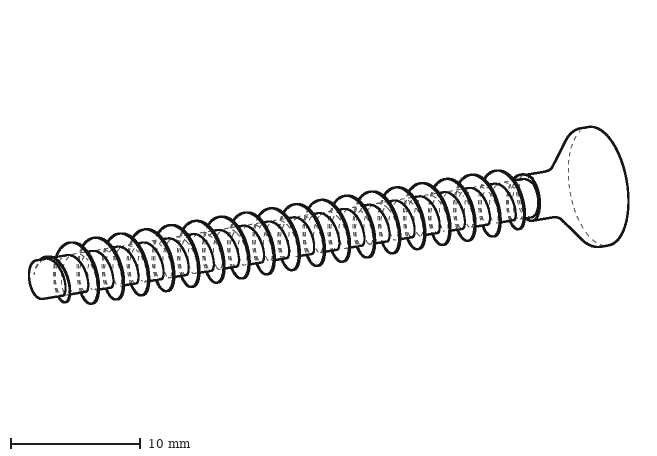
import math
import cadquery as cq

screw_length = 50.0

head_radius = 9.3 / 2
head_rim_height = 0.8
cone_angle = math.radians(45)
rim_round_radius = 0.2

neck_radius = 1.8
neck_end_depth = 6.25
neck_fillet_radius = 1.9
core_radius = 1.52
tip_round_radius = 0.15

thread_pitch = 2.24
thread_radius = 2.5
thread_root_width = 0.8
thread_crest_width = 0.12
thread_overlap = 0.1
buried_scale = 0.05
thread_start_depth = 5.25
full_thread_start_depth = 8.3
full_thread_end_depth = 46.6
thread_end_depth = 49.6
top_crossing_depth = 6.34

samples_per_turn = 24
thread_root_radius = core_radius - thread_overlap
thread_height = thread_radius - thread_root_radius


def make_body():
    """Head, neck and core as one turned body."""
    half_angle = cone_angle / 2
    fillet_centre_radius = neck_radius + neck_fillet_radius
    cone_end_radius = fillet_centre_radius - neck_fillet_radius * math.cos(cone_angle)
    cone_end_depth = head_rim_height + (head_radius - cone_end_radius) / math.tan(cone_angle)
    fillet_end_depth = cone_end_depth + neck_fillet_radius * math.sin(cone_angle)
    fillet_middle = (
        fillet_centre_radius - neck_fillet_radius * math.cos(half_angle),
        fillet_end_depth - neck_fillet_radius * math.sin(half_angle),
    )

    round_setback = rim_round_radius * math.tan(half_angle)
    round_start_depth = head_rim_height - round_setback
    round_centre_radius = head_radius - rim_round_radius
    round_middle = (
        round_centre_radius + rim_round_radius * math.cos(half_angle),
        round_start_depth + rim_round_radius * math.sin(half_angle),
    )
    round_end = (
        round_centre_radius + rim_round_radius * math.cos(cone_angle),
        round_start_depth + rim_round_radius * math.sin(cone_angle),
    )

    return (
        cq.Workplane("XZ")
        .moveTo(0, 0)
        .lineTo(head_radius, 0)
        .lineTo(head_radius, round_start_depth)
        .threePointArc(round_middle, round_end)
        .lineTo(cone_end_radius, cone_end_depth)
        .threePointArc(fillet_middle, (neck_radius, fillet_end_depth))
        .lineTo(neck_radius, neck_end_depth)
        .lineTo(core_radius, neck_end_depth)
        .lineTo(core_radius, screw_length - tip_round_radius)
        .radiusArc((core_radius - tip_round_radius, screw_length), -tip_round_radius)
        .lineTo(0, screw_length)
        .close()
        .revolve(360, (0, 0), (0, 1))
        .val()
    )


def thread_corner(depth, scale, side, at_crest):
    """One corner of the thread section; the whole section shrinks with scale."""
    angle = math.pi / 2 + 2 * math.pi * (depth - top_crossing_depth) / thread_pitch
    width = thread_crest_width if at_crest else thread_root_width
    radius = thread_root_radius
    if at_crest:
        radius += thread_height * scale
    return cq.Vector(
        radius * math.cos(angle),
        radius * math.sin(angle),
        depth + side * scale * width / 2,
    )


def thread_stretch(start_depth, end_depth, start_scale, end_scale):
    """A stretch of thread whose section grows or shrinks evenly from one end to the other."""
    count = math.ceil(samples_per_turn * (end_depth - start_depth) / thread_pitch)
    corners = [(-1, False), (-1, True), (1, True), (1, False)]
    edges = []
    for side, at_crest in corners:
        points = []
        for step in range(count + 1):
            fraction = step / count
            depth = start_depth + (end_depth - start_depth) * fraction
            scale = start_scale + (end_scale - start_scale) * fraction
            points.append(thread_corner(depth, scale, side, at_crest))
        edges.append(cq.Edge.makeSpline(points))

    faces = []
    for index, edge in enumerate(edges):
        next_edge = edges[(index + 1) % len(edges)]
        faces.append(cq.Face.makeRuledSurface(edge, next_edge))
    for end in (0, 1):
        outline = [edge.positionAt(end) for edge in edges]
        faces.append(cq.Face.makeFromWires(cq.Wire.makePolygon(outline, close=True)))
    return cq.Solid.makeSolid(cq.Shell.makeShell(faces)).fix()


def make_thread():
    """Run-in, full thread and run-out."""
    return [
        thread_stretch(thread_start_depth, full_thread_start_depth, buried_scale, 1.0),
        thread_stretch(full_thread_start_depth, full_thread_end_depth, 1.0, 1.0),
        thread_stretch(full_thread_end_depth, thread_end_depth, 1.0, buried_scale),
    ]


screw = make_body().fuse(*make_thread()).Solids()[0]
result = cq.Workplane("XY").newObject([screw]).rotate((0, 0, 0), (1, 0, 0), 90)